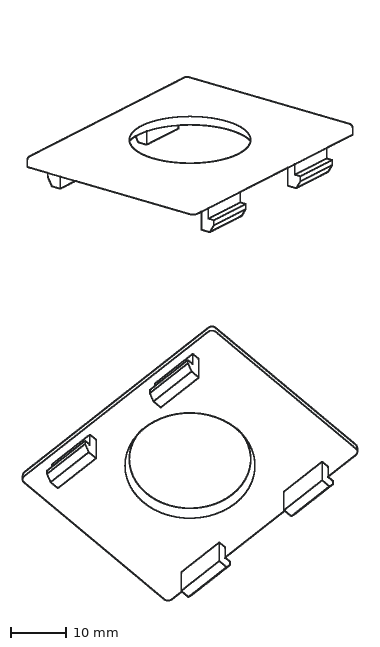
import cadquery as cq

plate_width = 38.5
plate_length = 48.5
plate_thickness = 2.0
edge_radius = 1.0
hole_top_diameter = 22.0
hole_bottom_diameter = 23.6

total_height = 7.75
clip_width = 9.65
clip_spacing = 26.0
clip_outer_inset = 1.6
clip_thickness = 1.6
hook_tip_inset = 0.35
hook_height = 2.6
hook_land_height = 1.0
hook_foot_inset = 1.3

clip_depth = total_height - plate_thickness


def make_plate():
    """Plate with rounded corners and top rim, and a central hole that widens downward."""
    plate = cq.Workplane("XY").box(
        plate_width, plate_length, plate_thickness, centered=(True, True, False)
    )
    plate = plate.edges("|Z").fillet(edge_radius)
    plate = plate.faces(">Z").edges().fillet(edge_radius)
    tapered_hole = (
        cq.Workplane("XY")
        .circle(hole_bottom_diameter / 2)
        .workplane(offset=plate_thickness)
        .circle(hole_top_diameter / 2)
        .loft(ruled=True)
    )
    return plate.cut(tapered_hole)


def make_clip(center_y):
    """Clip on the -X side: a straight leg with an outward hook and a sloped lead-in."""
    side = -plate_width / 2
    leg_outer = side + clip_outer_inset
    leg_inner = leg_outer + clip_thickness
    hook_tip = side + hook_tip_inset
    hook_foot = side + hook_foot_inset
    hook_top = hook_height - clip_depth
    profile = [
        (leg_inner, 0),
        (leg_outer, 0),
        (leg_outer, hook_top),
        (hook_tip, hook_top),
        (hook_tip, hook_top - hook_land_height),
        (hook_foot, -clip_depth),
        (leg_inner, -clip_depth),
    ]
    return (
        cq.Workplane("XZ", origin=(0, center_y, 0))
        .polyline(profile)
        .close()
        .extrude(clip_width / 2, both=True)
    )


result = make_plate()
for clip_y in (-clip_spacing / 2, clip_spacing / 2):
    clip = make_clip(clip_y)
    result = result.union(clip).union(clip.mirror("YZ"))